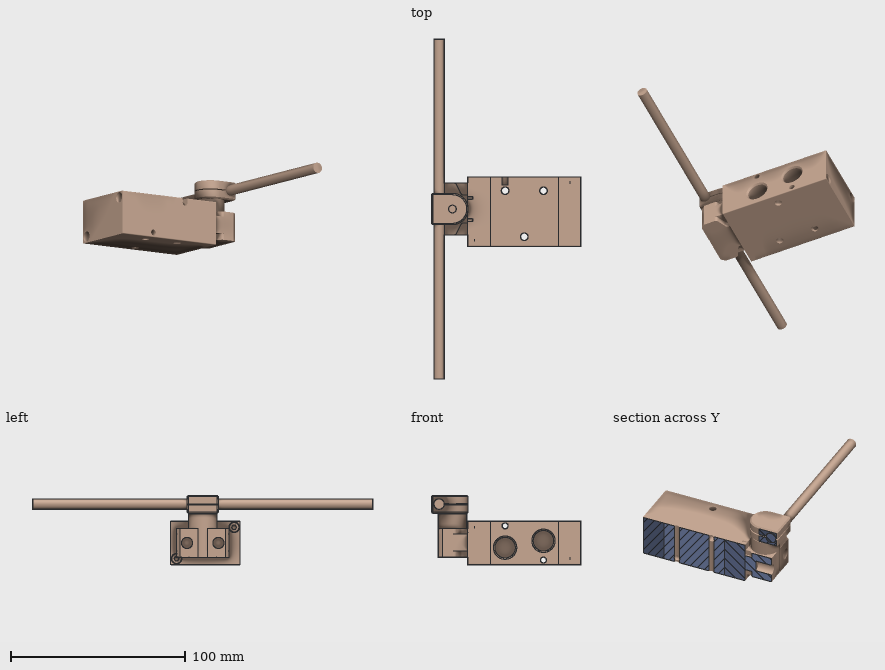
import cadquery as cq
import math


body_width = 40.0
body_height = 25.0
block_length = 39.0
cap_length = 13.0
body_start = 8.7
body_centre_y = -1.5
edge_fillet = 0.5
block_start = body_start + cap_length
block_end = block_start + block_length
body_end = block_end + cap_length
block_middle = (block_start + block_end) / 2
side_front = body_centre_y - body_width / 2
side_back = body_centre_y + body_width / 2
body_middle_z = body_height / 2

port_spacing = 22.0
port_diameter = 11.8
port_mouth_diameter = 13.4
port_mouth_depth = 1.0
port_depth = 12.0
port_heights = (9.8, 13.75)
cross_hole_diameter = 3.3
cross_hole_edge = 2.7
cross_hole_slot_length = 4.7
mount_hole_diameter = 4.2
mount_hole_back_inset = 8.0
mount_hole_front_inset = 5.6

recess_inset = 3.5
counterbore_diameter = 6.0
left_counterbore_depth = 4.0
right_counterbore_depth = 6.3
screw_head_diameter = 5.5
screw_head_height = 3.0
socket_width = 2.5
socket_depth = 1.3
socket_cone_depth = 0.9

notch_width = 1.8
notch_length = 3.2
notch_depth = 0.6
notch_taper = 25.0
notch_offset = 6.4

barrel_diameter = 16.5
barrel_chamfer = 0.3
base_height = 16.5
base_width = 30.0
base_bottom = body_middle_z - base_height / 2
base_top = base_bottom + base_height
base_front = -barrel_diameter / 2
base_corner_length = 2.4
base_corner_width = 2.0
pad_gap = 5.2
neck_width = 16.0
neck_taper_start = 1.8
neck_taper_end = 5.2
neck_fillet = 2.0
upper_neck_height = 3.0
lower_neck_height = 3.5
pad_hole_diameter = 6.4
pad_hole_spacing = 18.0
pad_hole_depth = 10.0

total_height = 39.85
clamp_height = 10.5
clamp_width = 18.0
clamp_front = -12.0
clamp_chamfer = 0.8
clamp_gap = 0.6
clamp_bottom = total_height - clamp_height
clamp_middle_z = clamp_bottom + clamp_height / 2
pin_diameter = 4.4
rod_diameter = 6.0
rod_length = 195.0
rod_inset = 4.3
rod_lift = 0.2
rod_x = clamp_front + rod_inset
rod_z = clamp_middle_z + rod_lift


def box(x0, x1, y0, y1, z0, z1):
    """Box between two opposite corners."""
    return cq.Workplane("XY").box(x1 - x0, y1 - y0, z1 - z0, centered=False).translate((x0, y0, z0))


def cylinder_x(diameter, x, y, z, length):
    """Cylinder that runs from x along +X."""
    return cq.Workplane("YZ", origin=(x, y, z)).circle(diameter / 2).extrude(length)


def cylinder_y(diameter, x, y, z, length):
    """Cylinder that runs from y along +Y."""
    return cq.Workplane("XZ", origin=(x, y, z)).circle(diameter / 2).extrude(-length)


def cylinder_z(diameter, x, y, z, length):
    """Cylinder that runs from z along +Z."""
    return cq.Workplane("XY", origin=(x, y, z)).circle(diameter / 2).extrude(length)


def body_section(start, length):
    """Length of the valve body with its four long edges rounded."""
    section = box(start, start + length, side_front, side_back, 0, body_height)
    return section.edges("|X").fillet(edge_fillet)


left_recess_places = (
    (side_front + recess_inset, body_height - recess_inset),
    (side_back - recess_inset, recess_inset),
)
right_recess_places = (
    (side_front + recess_inset, recess_inset),
    (side_back - recess_inset, body_height - recess_inset),
)


def port(x, z):
    """Round port in the front side with a conical mouth."""
    bore = cylinder_y(port_diameter, x, side_front, z, port_depth)
    mouth = (
        cq.Workplane("XZ", origin=(x, side_front, z))
        .circle(port_mouth_diameter / 2)
        .workplane(offset=-port_mouth_depth)
        .circle(port_diameter / 2)
        .loft()
    )
    return bore.union(mouth)


def make_block():
    """Middle section with ports, cross holes and mounting holes."""
    block = body_section(block_start, block_length)
    left_x = block_middle - port_spacing / 2
    right_x = block_middle + port_spacing / 2
    upper_z = body_height - cross_hole_edge
    for x, z in zip((left_x, right_x), port_heights):
        block = block.cut(port(x, z))
    for x, z in ((left_x, upper_z), (right_x, cross_hole_edge)):
        block = block.cut(cylinder_y(cross_hole_diameter, x, side_front, z, body_width))
    half_slot = cross_hole_diameter / 2
    slot_start = side_back - cross_hole_slot_length
    slot = box(left_x - half_slot, left_x + half_slot, slot_start, side_back, upper_z, body_height)
    block = block.cut(slot)
    back_y = side_back - mount_hole_back_inset
    front_y = side_front + mount_hole_front_inset
    for x, y in ((left_x, back_y), (right_x, back_y), (block_middle, front_y)):
        block = block.cut(cylinder_z(mount_hole_diameter, x, y, 0, body_height))
    return block


def screw_head(y, z):
    """Socket head on the floor of a left counterbore, with a cone at the bottom of its socket."""
    head_start = body_start + left_counterbore_depth - screw_head_height
    corner_diameter = socket_width / math.cos(math.pi / 6)
    socket = cq.Workplane("YZ", origin=(head_start, y, z)).polygon(6, corner_diameter).extrude(socket_depth)
    cone_base = cq.Vector(head_start + socket_depth, y, z)
    cone = cq.Solid.makeCone(socket_width / 2, 0, socket_cone_depth, cone_base, cq.Vector(1, 0, 0))
    head = cylinder_x(screw_head_diameter, head_start, y, z, screw_head_height)
    return head.cut(socket).cut(cq.Workplane(cone))


def make_left_cap():
    """Cap on the lever side with screw recesses and top notches."""
    cap = body_section(body_start, cap_length)
    for y, z in left_recess_places:
        cap = cap.cut(cylinder_x(counterbore_diameter, body_start, y, z, left_counterbore_depth))
        cap = cap.union(screw_head(y, z))
    for y in (-notch_offset, notch_offset):
        notch = (
            cq.Workplane("XY", origin=(body_start, y, body_height))
            .slot2D(2 * notch_length, notch_width)
            .extrude(-notch_depth, taper=notch_taper)
        )
        cap = cap.cut(notch)
    return cap


def make_right_cap():
    """Far cap with two plain counterbores."""
    cap = body_section(block_end, cap_length)
    counterbore_start = body_end - right_counterbore_depth
    for y, z in right_recess_places:
        cap = cap.cut(cylinder_x(counterbore_diameter, counterbore_start, y, z, right_counterbore_depth))
    return cap


def make_base():
    """Base that narrows to a neck at the valve, with a full-width tongue at mid height."""
    half_base = base_width / 2
    half_neck = neck_width / 2
    corner_x = base_front + base_corner_length
    corner_y = half_base - base_corner_width
    half_outline = [
        (base_front, corner_y), (corner_x, half_base), (neck_taper_start, half_base),
        (neck_taper_end, half_neck), (body_start, half_neck),
    ]
    other_half = [(x, -y) for x, y in reversed(half_outline)]
    outline = (
        cq.Workplane("XY", origin=(0, 0, base_bottom))
        .polyline(half_outline + other_half)
        .close()
        .extrude(base_height)
    )
    for x, y in ((neck_taper_start, half_base), (neck_taper_end, half_neck)):
        for side in (-1, 1):
            corner = (x, side * y, body_middle_z)
            outline = outline.edges(cq.selectors.NearestToPointSelector(corner)).fillet(neck_fillet)
    tongue_bottom = base_bottom + lower_neck_height
    tongue_top = base_top - upper_neck_height
    tongue = box(0, body_start, -half_base, half_base, tongue_bottom, tongue_top)
    return outline.union(tongue)


def make_head():
    """Base and lever barrel as one solid."""
    base = make_base()
    half_gap = pad_gap / 2
    base = base.cut(box(base_front, 0, -half_gap, half_gap, base_bottom, base_top))
    barrel = cylinder_z(barrel_diameter, 0, 0, base_bottom, clamp_bottom - base_bottom)
    barrel = barrel.faces(">Z").chamfer(barrel_chamfer)
    head = base.union(barrel)
    for side in (-1, 1):
        y = side * pad_hole_spacing / 2
        head = head.cut(cylinder_x(pad_hole_diameter, base_front, y, body_middle_z, pad_hole_depth))
    return head


def make_clamp_half(bottom, top):
    """Slice of the whole clamp between two heights, bored for the rod and the pin."""
    half_width = clamp_width / 2
    clamp = (
        cq.Workplane("XY", origin=(0, 0, clamp_bottom))
        .moveTo(clamp_front, -half_width)
        .lineTo(0, -half_width)
        .threePointArc((half_width, 0), (0, half_width))
        .lineTo(clamp_front, half_width)
        .close()
        .extrude(clamp_height)
        .edges("|Z and <X or #Z")
        .chamfer(clamp_chamfer)
    )
    slice_box = box(clamp_front, half_width, -half_width, half_width, bottom, top)
    return clamp.intersect(slice_box).cut(make_rod()).cut(make_pin())


def make_pin():
    """Pin down the lever axis that joins the clamp halves, flush with the top of the clamp."""
    return cylinder_z(pin_diameter, 0, 0, clamp_bottom, clamp_height)


def make_rod():
    """Straight rod across the clamp, centred on the lever axis."""
    return cylinder_y(rod_diameter, rod_x, -rod_length / 2, rod_z, rod_length)


block = make_block()
left_cap = make_left_cap()
right_cap = make_right_cap()
head = make_head()
lower_clamp = make_clamp_half(clamp_bottom, clamp_middle_z - clamp_gap / 2)
upper_clamp = make_clamp_half(clamp_middle_z + clamp_gap / 2, total_height)
pin = make_pin()
rod = make_rod()

result = cq.Compound.makeCompound([
    block.val(), left_cap.val(), right_cap.val(), head.val(),
    lower_clamp.val(), upper_clamp.val(), pin.val(), rod.val(),
])